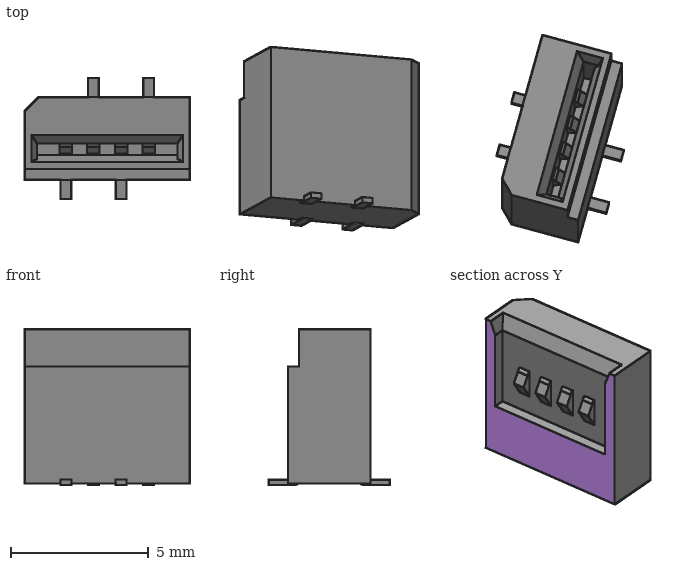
import cadquery as cq

length = 6.0
depth = 3.0
height = 5.605
step_depth = 0.4
step_height = 1.35
corner_chamfer = 0.5

mouth_length = 5.5
mouth_back = 0.125
mouth_front = -0.845
slot_length = 5.08
slot_back = -0.18
slot_front = -0.59
back_flare_depth = 0.52
front_flare_depth = 1.2
slot_depth = 3.6

contact_count = 4
pitch = 1.0
lead_width = 0.4
lead_thickness = 0.2
lead_span = 4.4
lead_drop = 0.05
lead_flat = 0.925
contact_width = 0.45
contact_reach = 0.355
contact_round = 0.12
contact_top_depth = 1.8
contact_tip_depth = 2.31
contact_end_depth = 2.88
contact_root = 0.06


def extrude_along_x(profile, width, x_center):
    """Extrude a YZ profile symmetrically about x_center."""
    return profile.extrude(width / 2, both=True).translate((x_center, 0, 0))


def make_housing():
    body = cq.Workplane("XY").box(length, depth, height, centered=(True, True, False))
    body = body.edges("|Z and <X and >Y").chamfer(corner_chamfer)
    step = cq.Workplane("XY").box(length, step_depth, step_height, centered=(True, False, False))
    return body.cut(step.translate((0, -depth / 2, height - step_height)))


def make_slot():
    cross_section = (
        cq.Workplane("YZ")
        .moveTo(mouth_back, height)
        .lineTo(slot_back, height - back_flare_depth)
        .lineTo(slot_back, height - slot_depth)
        .lineTo(slot_front, height - slot_depth)
        .lineTo(slot_front, height - front_flare_depth)
        .lineTo(mouth_front, height)
        .close()
    )
    long_section = (
        cq.Workplane("XZ")
        .moveTo(-mouth_length / 2, height)
        .lineTo(-slot_length / 2, height - back_flare_depth)
        .lineTo(-slot_length / 2, height - slot_depth)
        .lineTo(slot_length / 2, height - slot_depth)
        .lineTo(slot_length / 2, height - back_flare_depth)
        .lineTo(mouth_length / 2, height)
        .close()
        .extrude(depth / 2, both=True)
    )
    return extrude_along_x(cross_section, mouth_length, 0).intersect(long_section)


def make_contact(x):
    """Spring contact bulging from the back wall, with a rounded upper shoulder."""
    shoulder = slot_back - contact_round
    top = height - contact_top_depth
    profile = (
        cq.Workplane("YZ")
        .moveTo(slot_back + contact_root, top)
        .lineTo(slot_back, top)
        .tangentArcPoint((shoulder, top - contact_round), relative=False)
        .lineTo(slot_back - contact_reach, height - contact_tip_depth)
        .lineTo(slot_back, height - contact_end_depth)
        .lineTo(slot_back + contact_root, height - contact_end_depth)
        .close()
    )
    return extrude_along_x(profile, contact_width, x)


def make_lead(x, side):
    """Solder lead leaving the front (side = -1) or back (side = 1), curving up into the housing."""
    outer_end = side * lead_span / 2
    bend_start = outer_end - side * lead_flat
    top = lead_thickness - lead_drop
    profile = (
        cq.Workplane("YZ")
        .moveTo(outer_end, top)
        .lineTo(outer_end, -lead_drop)
        .lineTo(bend_start, -lead_drop)
        .tangentArcPoint((bend_start - side * lead_thickness, top), relative=False)
        .close()
    )
    return extrude_along_x(profile, lead_width, x)


result = make_housing().cut(make_slot())

for index in range(contact_count):
    contact_x = (index - (contact_count - 1) / 2) * pitch
    lead_side = -1 if index % 2 == 0 else 1
    result = result.union(make_contact(contact_x))
    result = result.union(make_lead(contact_x, lead_side))